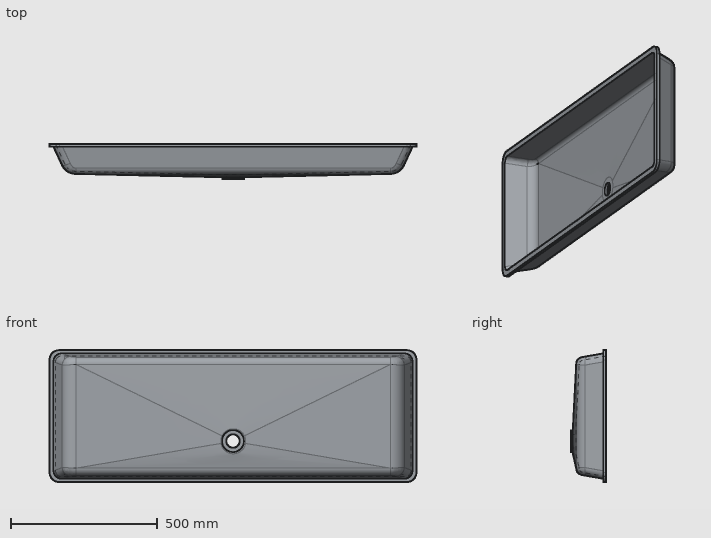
import cadquery as cq
import math

LENGTH = 1250.0
HEIGHT = 450.0
RIM_THICKNESS = 10.0
RIM_CORNER_RADIUS = 34.0

END_OVERHANG = 14.0
SIDE_OVERHANG = 11.0
WALL_THICKNESS = 10.0
FLOOR_DEPTH = 102.0
END_DRAFT = 25.0
SIDE_DRAFT = 10.0
END_FILLET = 52.0
SIDE_FILLET = 25.0
CORNER_FILLET = 30.0

TOTAL_DEPTH = 120.0
DRAIN_Z = -85.0
FLOOR_FALL = 11.0
SEAT_RADIUS = 42.0
RING_RADIUS = 38.0
DRAIN_BORE_RADIUS = 22.0


def front_plane(depth):
    """Plane facing -Y, at a depth in front of the back of the rim."""
    return cq.Plane(origin=(0, -depth, 0), xDir=(1, 0, 0), normal=(0, -1, 0))


def draft_run(draft, depth):
    """Distance a drafted wall moves inwards over a depth."""
    return depth * math.tan(math.radians(draft))


def fillet_run(draft, radius):
    """Distance a floor fillet takes up on the floor next to a drafted wall."""
    return radius * math.tan(math.radians(90 - draft) / 2)


def basin_form(inset):
    """Solid bounded by the basin's outer surface moved inwards by inset."""
    start = RIM_THICKNESS if inset == 0 else 0
    floor = FLOOR_DEPTH - inset

    def half_size(full, overhang, draft, depth):
        wall_inset = inset / math.cos(math.radians(draft))
        return full / 2 - overhang - wall_inset - draft_run(draft, depth - RIM_THICKNESS)

    def section(depth):
        return (
            2 * half_size(LENGTH, END_OVERHANG, END_DRAFT, depth),
            2 * half_size(HEIGHT, SIDE_OVERHANG, SIDE_DRAFT, depth),
        )

    tub = (
        cq.Workplane(front_plane(start)).rect(*section(start))
        .workplane(offset=floor - start).rect(*section(floor))
        .loft(ruled=True)
    )
    end_radius = END_FILLET - inset
    side_radius = SIDE_FILLET - inset
    fillets = cq.occ_impl.shapes.BRepFilletAPI_MakeFillet(tub.val().wrapped)
    for edges, radius in (
        (tub.faces("<Y").edges("|Z"), end_radius),
        (tub.faces("<Y").edges("|X"), side_radius),
        (tub.edges("not (|X or |Z)"), CORNER_FILLET - inset),
    ):
        for edge in edges.vals():
            fillets.Add(radius, edge.wrapped)
    tub = cq.Workplane(cq.Shape.cast(fillets.Shape()))

    half_x = half_size(LENGTH, END_OVERHANG, END_DRAFT, floor) - fillet_run(END_DRAFT, end_radius)
    half_z = half_size(HEIGHT, SIDE_OVERHANG, SIDE_DRAFT, floor) - fillet_run(SIDE_DRAFT, side_radius)
    return tub.union(sloping_floor(half_x, half_z, floor))


def sloping_floor(half_x, half_z, depth):
    """Shallow solid whose four faces fall from a rectangle to the round drain seat."""
    seat_center = cq.Vector(0, -depth - FLOOR_FALL, DRAIN_Z)

    def seat_point(angle):
        return seat_center + cq.Vector(math.cos(angle), 0, math.sin(angle)) * SEAT_RADIUS

    corners = [(-half_x, -half_z), (half_x, -half_z), (half_x, half_z), (-half_x, half_z)]
    angles = [math.atan2(z - DRAIN_Z, x) for x, z in corners]
    floor_edges = []
    seat_edges = []
    slopes = []
    for index in range(len(corners)):
        following = (index + 1) % len(corners)
        (x0, z0), (x1, z1) = corners[index], corners[following]
        start = angles[index]
        end = angles[following] if following else angles[0] + 2 * math.pi
        floor_edge = cq.Edge.makeLine(cq.Vector(x0, -depth, z0), cq.Vector(x1, -depth, z1))
        seat_edge = cq.Edge.makeThreePointArc(
            seat_point(start), seat_point((start + end) / 2), seat_point(end)
        )
        floor_edges.append(floor_edge)
        seat_edges.append(seat_edge)
        slopes.append(cq.Face.makeRuledSurface(floor_edge, seat_edge))
    caps = [
        cq.Face.makeFromWires(cq.Wire.assembleEdges(edges)) for edges in (floor_edges, seat_edges)
    ]
    return cq.Workplane(cq.Solid.makeSolid(cq.Shell.makeShell(slopes + caps)))


def drain_cylinder(radius, start, end):
    """Cylinder on the drain axis between two depths."""
    return cq.Workplane(front_plane(start)).center(0, DRAIN_Z).circle(radius).extrude(end - start)


def make_basin():
    rim = (
        cq.Workplane(front_plane(0)).rect(LENGTH, HEIGHT).extrude(RIM_THICKNESS)
        .edges("|Y").fillet(RIM_CORNER_RADIUS)
    )
    shell = rim.union(basin_form(0)).cut(basin_form(WALL_THICKNESS))
    return shell.cut(drain_cylinder(DRAIN_BORE_RADIUS, 0, TOTAL_DEPTH))


def make_drain_ring():
    """Flat ring lying on the drain seat."""
    seat_depth = FLOOR_DEPTH + FLOOR_FALL
    ring = drain_cylinder(RING_RADIUS, seat_depth, TOTAL_DEPTH)
    return ring.cut(drain_cylinder(DRAIN_BORE_RADIUS, seat_depth, TOTAL_DEPTH))


basin = make_basin()
drain_ring = make_drain_ring()

result = cq.Compound.makeCompound([basin.solids().val(), drain_ring.val()])